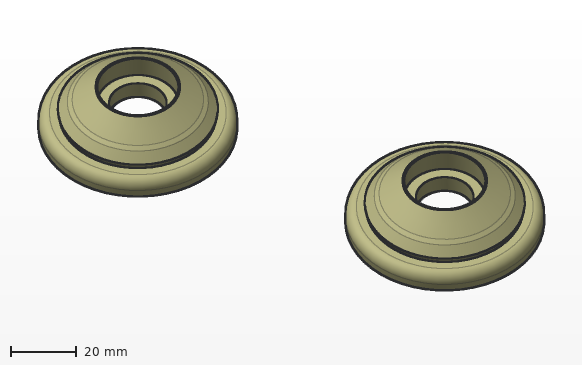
import cadquery as cq

overall_length = 162.0
flange_diameter = 60.4
flange_radius = flange_diameter / 2
ring_spacing = overall_length - flange_diameter

flange_height = 6.0
flange_round = 3.4

collar_foot_radius = 24.0
foot_height = 0.5
collar_radius = 24.3
shoulder_height = 7.8
lower_cone_radius = 21.4
lower_cone_height = 10.7
upper_cone_radius = 19.9
upper_cone_height = 11.7
rim_radius = 12.8
total_height = 17.0

hole_radius = 8.7
counterbore_radius = 12.3
counterbore_depth = 7.0

web_thickness = 5.8
recess_depth = total_height - counterbore_depth - web_thickness
recess_radius = 20.2


def make_flange():
    """Disc with a rounded upper edge."""
    disc = cq.Workplane("XY").circle(flange_radius).extrude(flange_height)
    return disc.faces(">Z").edges().fillet(flange_round)


def make_collar():
    """Stepped conical boss, revolved about Z from its half section."""
    foot_top = flange_height + foot_height
    return (
        cq.Workplane("XZ")
        .lineTo(collar_foot_radius, 0)
        .lineTo(collar_foot_radius, foot_top)
        .lineTo(collar_radius, shoulder_height)
        .lineTo(lower_cone_radius, lower_cone_height)
        .lineTo(upper_cone_radius, upper_cone_height)
        .lineTo(rim_radius, total_height)
        .lineTo(0, total_height)
        .close()
        .revolve(360, (0, 0, 0), (0, 1, 0))
    )


def make_ring(center_x):
    """One flanged conical ring with a counterbored through hole and a recessed underside."""
    ring = make_flange().union(make_collar())
    hole = cq.Workplane("XY").circle(hole_radius).extrude(total_height)
    counterbore = (
        cq.Workplane("XY")
        .workplane(offset=total_height - counterbore_depth)
        .circle(counterbore_radius)
        .extrude(counterbore_depth)
    )
    recess = cq.Workplane("XY").circle(recess_radius).extrude(recess_depth)
    return ring.cut(hole).cut(counterbore).cut(recess).translate((center_x, 0, 0))


rings = [make_ring(side * ring_spacing / 2) for side in (-1, 1)]

result = cq.Compound.makeCompound([ring.val() for ring in rings])